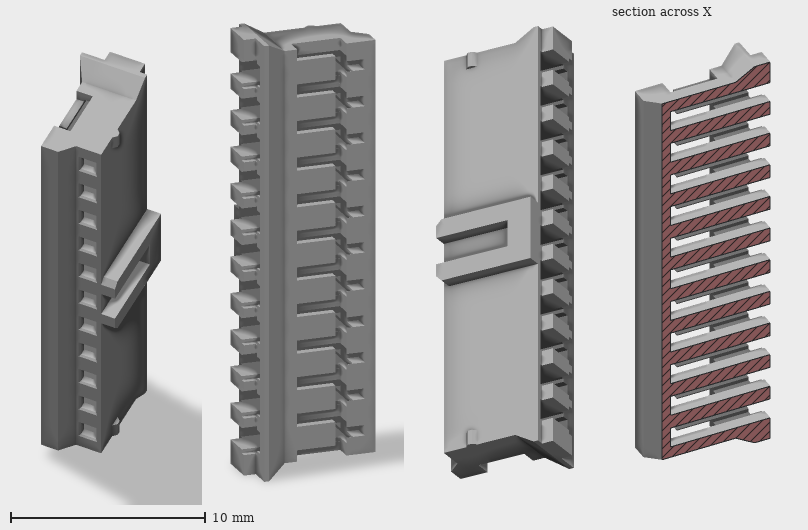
import cadquery as cq


height = 23.8
flare = 0.65
body_left = flare
body_right = 3.71
body_half_height = height / 2 - flare
nose_right = 1.62
chamfer_right = 2.28
entry_y = 0.75
flare_start_y = 5.0
flange_front_y = 6.1
flange_back_y = 6.35

cavity_count = 11
pitch = 2.0
cavity_width = 1.17
cavity_front_y = 1.24
web_thickness = 0.015
cavity_right = 3.47
groove_width = 1.57
groove_right = 1.62
entry_center_x = 2.95
entry_size = 1.05
entry_lead_in = 0.1

slot_front_y = 1.6
slot_back_y = 4.3
slot_right = 1.57
tongue_width = 1.29
tongue_thickness = 0.43
tongue_tip_y = 2.21
notch_width = 0.57
notch_front_y = 0.6

post_left = 1.29
post_right = 3.28
back_y = 7.0

latch_right = 4.5
latch_half_height = 1.75
latch_chamfer = 0.3
latch_slot_height = 1.5
latch_bridge_y = flare_start_y
ridge_height = 0.8
ridge_right = 3.93
ridge_front_y = 2.1
ridge_back_y = 2.75

cavity_heights = [(i - (cavity_count - 1) / 2) * pitch for i in range(cavity_count)]


def block(x0, x1, y0, y1, z0, z1):
    """Box between two opposite corners."""
    return cq.Workplane("XY").box(x1 - x0, y1 - y0, z1 - z0, centered=False).translate((x0, y0, z0))


def band(x0, x1, y0, y1, width, z=0.0):
    """Box of the given Z width, centred on height z."""
    return block(x0, x1, y0, y1, z - width / 2, z + width / 2)


def prism(points, z0, z1):
    """XY outline extruded from z0 to z1."""
    return cq.Workplane("XY", origin=(0, 0, z0)).polyline(points).close().extrude(z1 - z0)


def frustum(start_y, end_y, start, end):
    """Rectangular taper along +Y; start and end are (x0, x1, z0, z1)."""

    def ring(y, rect):
        x0, x1, z0, z1 = rect
        corners = [(x0, y, z0), (x1, y, z0), (x1, y, z1), (x0, y, z1)]
        return cq.Wire.makePolygon([cq.Vector(*corner) for corner in corners], close=True)

    return cq.Workplane(obj=cq.Solid.makeLoft([ring(start_y, start), ring(end_y, end)], True))


def make_body():
    outline = [
        (body_left, 0),
        (nose_right, 0),
        (chamfer_right, entry_y),
        (body_right, entry_y),
        (body_right, flange_back_y),
        (body_left, flange_back_y),
    ]
    body = prism(outline, -body_half_height, body_half_height)
    flared = frustum(
        flare_start_y,
        flange_front_y,
        (body_left, body_right, -body_half_height, body_half_height),
        (0, body_right, -height / 2, height / 2),
    )
    flange = band(0, body_right, flange_front_y, flange_back_y, height)
    posts = band(post_left, post_right, flange_back_y, back_y, height)
    return body.union(flared).union(flange).union(posts)


def make_cavity(z):
    """Everything removed for one contact."""
    bore = band(body_left + web_thickness, cavity_right, cavity_front_y, back_y, cavity_width, z)
    groove_left = body_left + tongue_thickness
    groove = band(groove_left, groove_right, slot_front_y, back_y, groove_width, z)
    notch = band(body_left, slot_right, notch_front_y, slot_front_y, notch_width, z)
    return bore.union(groove).union(notch).union(make_entry(z))


def make_entry(z):
    """Square wire entry with a 45 degree lead-in."""

    def square(size):
        return (entry_center_x - size / 2, entry_center_x + size / 2, z - size / 2, z + size / 2)

    inner_size = entry_size - 2 * entry_lead_in
    lead_in = frustum(entry_y, entry_y + entry_lead_in, square(entry_size), square(inner_size))
    x0, x1, z0, z1 = square(inner_size)
    return lead_in.union(block(x0, x1, entry_y, cavity_front_y, z0, z1))


def make_tongue(z):
    return band(body_left, body_left + tongue_thickness, tongue_tip_y, slot_back_y, tongue_width, z)


def make_latch():
    """Two arms joined by a bridge at the back, chamfered at the front."""
    front_half = latch_half_height - latch_chamfer
    outline = [
        (entry_y, -front_half),
        (entry_y + latch_chamfer, -latch_half_height),
        (flange_back_y, -latch_half_height),
        (flange_back_y, latch_half_height),
        (entry_y + latch_chamfer, latch_half_height),
        (entry_y, front_half),
    ]
    plate = cq.Workplane("YZ", origin=(body_right, 0, 0)).polyline(outline).close()
    gap = band(body_right, latch_right, entry_y, latch_bridge_y, latch_slot_height)
    return plate.extrude(latch_right - body_right).cut(gap)


def make_ridge(z0):
    """Small locking ridge with 45 degree flanks."""
    rise = ridge_right - body_right
    outline = [
        (body_right, ridge_front_y),
        (ridge_right, ridge_front_y + rise),
        (ridge_right, ridge_back_y - rise),
        (body_right, ridge_back_y),
    ]
    return prism(outline, z0, z0 + ridge_height)


result = make_body()
result = result.cut(band(body_left, slot_right, slot_front_y, slot_back_y, height))
for cavity_z in cavity_heights:
    result = result.union(make_tongue(cavity_z)).cut(make_cavity(cavity_z))
result = result.union(make_latch())
for ridge_z in (-body_half_height, body_half_height - ridge_height):
    result = result.union(make_ridge(ridge_z))